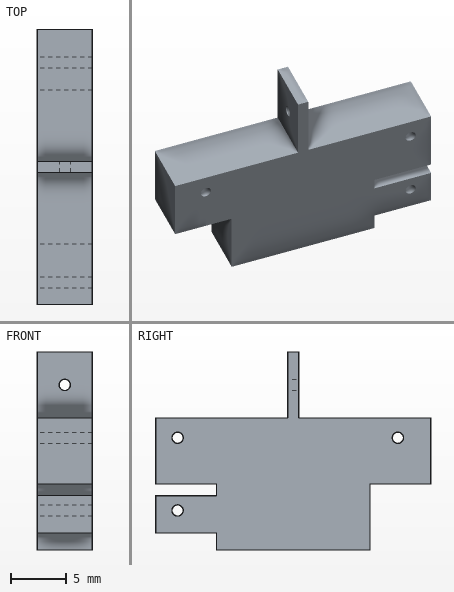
import cadquery as cq

thickness = 5.0
length = 25.0
hole_diameter = 1.0

body_length = 13.95
body_side = body_length / 2

bar_bottom = 6.0
bar_height = 6.0
bar_top = bar_bottom + bar_height

slot_height = 1.05
arm_height = 3.4
arm_top = bar_bottom - slot_height
arm_bottom = arm_top - arm_height

tab_thickness = 1.0
tab_height = 6.0

front_hole_y = -10.5
back_hole_y = 9.5
bar_hole_z = 10.2
arm_hole_z = 3.6
tab_hole_z = bar_top + tab_height / 2


def block(y_min, y_max, z_min, z_max):
    """Full-thickness block, centred on X = 0."""
    return (
        cq.Workplane("XY")
        .box(thickness, y_max - y_min, z_max - z_min, centered=(True, False, False))
        .translate((0, y_min, z_min))
    )


def cross_hole(y, z):
    """Cutter for a hole through the thickness, along X."""
    return (
        cq.Workplane("YZ")
        .center(y, z)
        .circle(hole_diameter / 2)
        .extrude(thickness, both=True)
    )


def tab_hole():
    """Cutter for the hole through the tab, along Y."""
    return (
        cq.Workplane("XZ")
        .center(0, tab_hole_z)
        .circle(hole_diameter / 2)
        .extrude(tab_thickness, both=True)
    )


body = block(-body_side, body_side, 0, bar_top)
bar = block(-length / 2, length / 2, bar_bottom, bar_top)
arm = block(-length / 2, 0, arm_bottom, arm_top)
tab = block(-tab_thickness / 2, tab_thickness / 2, bar_bottom, bar_top + tab_height)

result = body.union(bar).union(arm).union(tab).clean()

cross_hole_centres = [
    (front_hole_y, bar_hole_z),
    (back_hole_y, bar_hole_z),
    (front_hole_y, arm_hole_z),
]
for y, z in cross_hole_centres:
    result = result.cut(cross_hole(y, z))
result = result.cut(tab_hole())